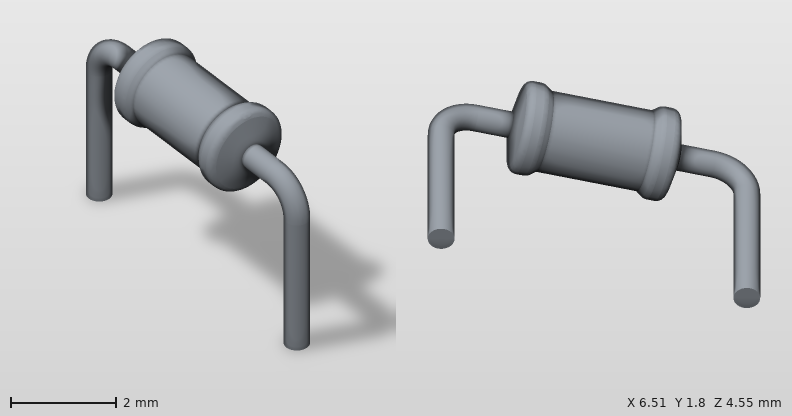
import cadquery as cq

wire_diameter = 0.51
lead_pitch = 6.0
bend_radius = 0.67
lead_drop = 3.65

barrel_diameter = 1.57
barrel_length = 1.98
cap_diameter = 1.8
cap_edge_half_length = 1.49
shoulder_half_length = 1.15
body_half_length = 1.65
cap_rounding = 0.16
radius_tolerance = 1e-6


def make_body():
    """Barrel with an enlarged cap and a conical face at each end."""
    wire_radius = wire_diameter / 2
    barrel_radius = barrel_diameter / 2
    cap_radius = cap_diameter / 2
    right_half = [
        (barrel_length / 2, barrel_radius),
        (shoulder_half_length, cap_radius),
        (cap_edge_half_length, cap_radius),
        (body_half_length, wire_radius),
        (body_half_length, 0),
    ]
    left_half = [(-x, radius) for x, radius in reversed(right_half)]
    body = cq.Workplane("XZ").polyline(left_half + right_half).close().revolve(360, (0, 0), (1, 0))

    cap_edges = [
        edge for edge in body.edges("%CIRCLE").vals()
        if abs(edge.radius() - cap_radius) < radius_tolerance
    ]
    return body.newObject(cap_edges).fillet(cap_rounding)


def make_wire():
    """Continuous round wire through the body, bent down 90 degrees at each end."""
    half_pitch = lead_pitch / 2
    bend_start = half_pitch - bend_radius
    path = (
        cq.Workplane("XZ")
        .moveTo(-half_pitch, -lead_drop)
        .lineTo(-half_pitch, -bend_radius)
        .tangentArcPoint((-bend_start, 0), relative=False)
        .lineTo(bend_start, 0)
        .tangentArcPoint((half_pitch, -bend_radius), relative=False)
        .lineTo(half_pitch, -lead_drop)
    )
    lead_tip = cq.Workplane("XY", origin=(-half_pitch, 0, -lead_drop))
    return lead_tip.circle(wire_diameter / 2).sweep(path)


result = make_body().union(make_wire())